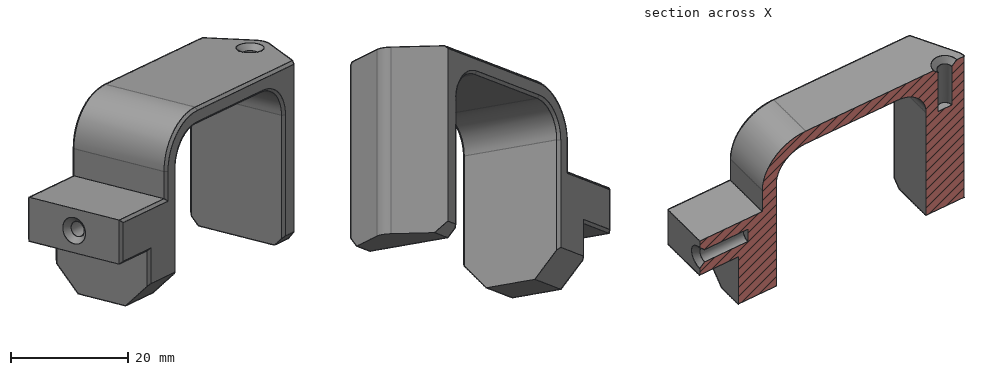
import cadquery as cq
import math

width = 20.0
length = 55.0
height = 33.0
half_width = width / 2

wall = 3.0
upper_leg_front = 13.0
leg_inner = upper_leg_front + wall
leg_thickness = 8.0
lower_leg_front = leg_inner - leg_thickness
back_leg_inner = length - leg_thickness
block_bottom = 11.0
block_top = 19.05
bend_outer_radius = 9.0
bend_inner_radius = bend_outer_radius - wall
edge_chamfer = 0.5

point_depth = 5.0
shoulder_y = length - point_depth
nose_radius = 3.0

front_corner_cut = 5.0
back_corner_cut = 2.0

hole_diameter = 2.75
countersink_diameter = 4.8
countersink_angle = 90.0
hole_depth = 10.0
top_hole_inset = 4.0
top_hole_y = length - top_hole_inset
block_hole_z = (block_bottom + block_top) / 2


def make_bracket():
    """Bent strap with chamfered sides, oversize at the back and below the legs."""
    overrun = 2 * edge_chamfer
    floor = -overrun
    back = length + overrun
    ceiling = height - wall
    diagonal = math.sqrt(0.5)
    outer_center = (upper_leg_front + bend_outer_radius, height - bend_outer_radius)
    inner_z = ceiling - bend_inner_radius
    inner_front_y = leg_inner + bend_inner_radius
    inner_back_y = back_leg_inner - bend_inner_radius
    outer_reach = bend_outer_radius * diagonal
    inner_reach = bend_inner_radius * diagonal

    profile = (
        cq.Workplane("YZ", origin=(-half_width, 0, 0))
        .moveTo(lower_leg_front, floor)
        .lineTo(lower_leg_front, block_bottom)
        .lineTo(0, block_bottom)
        .lineTo(0, block_top)
        .lineTo(upper_leg_front, block_top)
        .lineTo(upper_leg_front, outer_center[1])
        .threePointArc(
            (outer_center[0] - outer_reach, outer_center[1] + outer_reach),
            (outer_center[0], height),
        )
        .lineTo(back, height)
        .lineTo(back, floor)
        .lineTo(back_leg_inner, floor)
        .lineTo(back_leg_inner, inner_z)
        .threePointArc((inner_back_y + inner_reach, inner_z + inner_reach), (inner_back_y, ceiling))
        .lineTo(inner_front_y, ceiling)
        .threePointArc((inner_front_y - inner_reach, inner_z + inner_reach), (leg_inner, inner_z))
        .lineTo(leg_inner, floor)
        .close()
    )
    return profile.extrude(width).faces("<X or >X").chamfer(edge_chamfer)


def make_envelope():
    """Plan outline whose sloping back sides run tangent into the round nose."""
    nose_center_y = length - nose_radius
    drop = nose_center_y - shoulder_y
    tangent_angle = math.acos(nose_radius / math.hypot(half_width, drop)) - math.atan2(drop, half_width)
    tangent_x = nose_radius * math.cos(tangent_angle)
    tangent_y = nose_center_y + nose_radius * math.sin(tangent_angle)
    return (
        cq.Workplane("XY")
        .moveTo(-half_width, 0)
        .lineTo(half_width, 0)
        .lineTo(half_width, shoulder_y)
        .lineTo(tangent_x, tangent_y)
        .threePointArc((0, length), (-tangent_x, tangent_y))
        .lineTo(-half_width, shoulder_y)
        .close()
        .extrude(height)
    )


def corner_cutter(side, size, start_y, end_y):
    """Triangular prism for the bottom corner on one side (-1 or 1) of a leg."""
    edge_x = side * half_width
    return (
        cq.Workplane("XZ", origin=(0, end_y, 0))
        .polyline([(edge_x, 0), (edge_x - side * size, 0), (edge_x, size)])
        .close()
        .extrude(end_y - start_y)
    )


def drill(body, plane):
    """Countersunk blind hole at the origin of a plane facing out of the part."""
    return body.copyWorkplane(cq.Workplane(plane)).pushPoints([(0, 0)]).cskHole(
        hole_diameter, countersink_diameter, countersink_angle, depth=hole_depth
    )


result = make_bracket().intersect(make_envelope())

for side in (-1, 1):
    result = result.cut(corner_cutter(side, front_corner_cut, 0, leg_inner))
    result = result.cut(corner_cutter(side, back_corner_cut, back_leg_inner, length))

top_hole_plane = cq.Plane(origin=(0, top_hole_y, height), xDir=(1, 0, 0), normal=(0, 0, 1))
block_hole_plane = cq.Plane(origin=(0, 0, block_hole_z), xDir=(1, 0, 0), normal=(0, -1, 0))
result = drill(result, top_hole_plane)
result = drill(result, block_hole_plane)